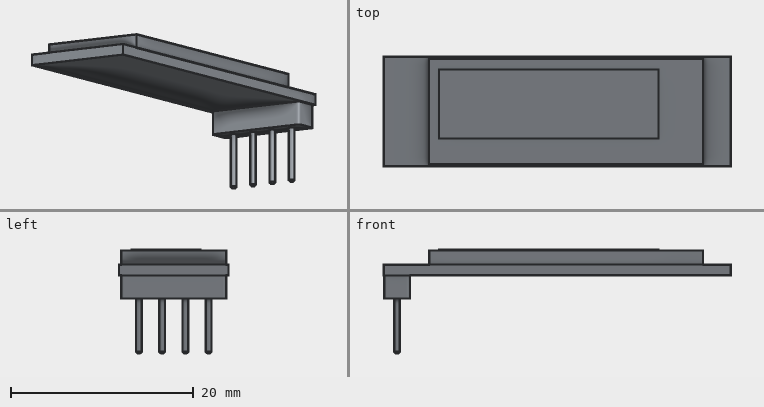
import cadquery as cq

board_length = 38.0
board_width = 12.0
board_thickness = 1.18

panel_length = 30.0
panel_width = 11.5
panel_thickness = 1.55
panel_start_x = 4.98

screen_length = 24.0
screen_width = 7.55
screen_thickness = 0.1
screen_panel_margin_x = 1.1
screen_panel_margin_y = 1.15

header_inset_x = 0.05
header_length = 2.85
header_width = 11.5
header_height = 2.55
header_corner_radius = 0.35

pin_count = 4
pin_pitch = 2.55
pin_diameter = 0.65
pin_length = 6.0
pin_tip_chamfer = 0.23


def plate(length, width, thickness, start_x, bottom_z, center_y=0.0):
    """Rectangular block starting at start_x and rising from bottom_z."""
    return (
        cq.Workplane("XY")
        .box(length, width, thickness, centered=(False, True, False))
        .translate((start_x, center_y, bottom_z))
    )


def header_pin(x, y):
    """Round pin hanging below the header, with a chamfered tip."""
    return (
        cq.Workplane("XY")
        .circle(pin_diameter / 2)
        .extrude(-pin_length)
        .faces("<Z")
        .chamfer(pin_tip_chamfer)
        .translate((x, y, -header_height))
    )


board = plate(board_length, board_width, board_thickness, 0.0, 0.0)

panel = plate(panel_length, panel_width, panel_thickness, panel_start_x, board_thickness)

screen_start_x = panel_start_x + screen_panel_margin_x
screen_center_y = (panel_width - screen_width) / 2 - screen_panel_margin_y
screen_bottom_z = board_thickness + panel_thickness
screen = plate(
    screen_length, screen_width, screen_thickness, screen_start_x, screen_bottom_z, screen_center_y
)

header = plate(header_length, header_width, header_height, header_inset_x, -header_height)
header = header.edges("|Z").fillet(header_corner_radius)

result = board.union(panel).union(screen).union(header)

pin_x = header_inset_x + header_length / 2
for index in range(pin_count):
    pin_y = (index - (pin_count - 1) / 2) * pin_pitch
    result = result.union(header_pin(pin_x, pin_y))